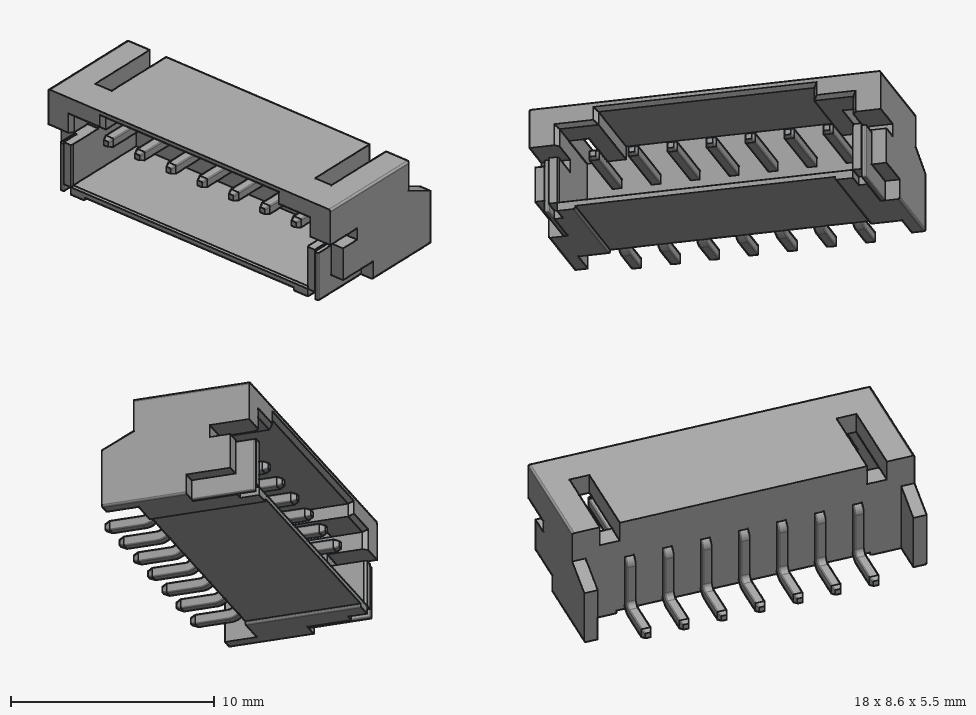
import cadquery as cq

width = 18.0
height = 5.5
roof_depth = 6.05
half_width = width / 2
edge_fillet = 0.1

ear_thickness = 0.7
ear_rear = 7.72
ear_rear_height = 3.02
ear_root_height = 3.8

cavity_depth = 4.99
main_half_width = 7.52
floor_top = 0.49
main_top = 4.41
raised_half_width = 5.53
raised_top = 5.1

wide_lead = 0.2
wide_lead_depth = 0.23
slight_lead = 0.05
slight_lead_depth = 0.15

side_slot_depth = 2.07
side_slot_bottom = 2.85
side_slot_top = 3.5
side_slot_middle = (side_slot_bottom + side_slot_top) / 2

roof_slot_half_gap = 6.5
roof_slot_width = 1.05
roof_slot_front = 1.85

clearance_half_width = 6.66
clearance_height = 0.16

tab_inset = 0.75
tab_thickness = 0.23
tab_edge_fillet = 0.05
tab_upright_depth = 0.99
tab_height = 2.74
tab_foot_length = 3.3
tab_foot_height = 1.03

pin_count = 7
pin_pitch = 2.0
pin_size = 0.5
pin_edge_fillet = 0.05
pin_tip_length = 0.27
pin_tip_inset = 0.099
pin_front = 0.81
pin_rear = 8.6
pin_axis_height = 3.17
pin_leg_position = 6.07
upper_bend_radius = 0.3
lower_bend_radius = 0.54

pin_half = pin_size / 2
tab_inner_half = half_width - tab_inset - tab_thickness
floor_half_width = main_half_width + slight_lead


def box(x_range, y_range, z_range):
    """Box between the given limits on each axis."""
    sizes = [high - low for low, high in (x_range, y_range, z_range)]
    corner = (x_range[0], y_range[0], z_range[0])
    return cq.Workplane("XY").box(*sizes, centered=False).translate(corner)


def both_sides(shape):
    """The shape together with its mirror image across the YZ plane."""
    return shape.union(shape.mirror("YZ"))



def side_profile():
    """Outline of the housing end, extruded over the full width."""
    return (
        cq.Workplane("YZ", origin=(-half_width, 0, 0))
        .polyline([
            (0, 0),
            (ear_rear, 0),
            (ear_rear, ear_rear_height),
            (roof_depth, ear_root_height),
            (roof_depth, height),
            (0, height),
        ])
        .close()
        .extrude(width)
    )


def housing_block():
    """Outer shape of the housing: two ears, two feet and rounded lengthwise edges."""
    ear_gap_half = half_width - ear_thickness
    ear_gap = box((-ear_gap_half, ear_gap_half), (roof_depth, ear_rear), (0, height))
    floor_clearance = box(
        (-clearance_half_width, clearance_half_width), (0, ear_rear), (0, clearance_height)
    )
    block = side_profile().cut(floor_clearance)
    block = block.faces("<Z").edges("|Y").fillet(edge_fillet)
    block = block.faces(">Z").edges("|Y").fillet(edge_fillet)
    return block.cut(ear_gap)


def stepped_outline(lead):
    """Upper cavity outline, grown sideways and upwards by the lead."""
    main = main_half_width + lead
    raised = raised_half_width + lead
    return [
        (-main, side_slot_middle),
        (main, side_slot_middle),
        (main, main_top + lead),
        (raised, main_top + lead),
        (raised, raised_top + lead),
        (-raised, raised_top + lead),
        (-raised, main_top + lead),
        (-main, main_top + lead),
    ]


def lower_outline(lead):
    """Lower cavity outline, grown sideways and downwards by the lead."""
    main = main_half_width + lead
    bottom = floor_top - lead
    return [
        (-main, bottom),
        (main, bottom),
        (main, side_slot_middle),
        (-main, side_slot_middle),
    ]


def flared_pocket(outline, lead, lead_depth):
    """Pocket from the mating face whose mouth flares out by the lead over the lead depth."""
    straight = cq.Workplane("XZ").polyline(outline(0)).close().extrude(-cavity_depth)
    flare = (
        cq.Workplane("XZ")
        .polyline(outline(lead))
        .close()
        .workplane(offset=-lead_depth)
        .polyline(outline(0))
        .close()
        .loft(ruled=True)
    )
    return straight.union(flare)


def side_cutouts():
    """Left-hand wall slot and the cuts that leave room for the solder tab."""
    outside = -half_width
    slot = box(
        (outside, -main_half_width),
        (0, side_slot_depth),
        (side_slot_bottom, side_slot_top),
    )
    upright_recess = box(
        (outside, -tab_inner_half), (0, tab_upright_depth), (0, side_slot_bottom)
    )
    foot_recess = box(
        (outside, -tab_inner_half), (0, tab_foot_length), (0, tab_foot_height)
    )
    corner_notch = box(
        (outside, -floor_half_width),
        (0, tab_upright_depth),
        (0, floor_top - slight_lead),
    )
    return slot.union(upright_recess).union(foot_recess).union(corner_notch)


def roof_slot():
    """Left-hand slot in the roof, down to the level of the cavity top."""
    return box(
        (-roof_slot_half_gap - roof_slot_width, -roof_slot_half_gap),
        (roof_slot_front, roof_depth),
        (main_top, height),
    )


def make_housing(pin_shapes):
    """Housing with its cavity, slots and recesses, and a passage for each pin."""
    housing = (
        housing_block()
        .cut(flared_pocket(stepped_outline, wide_lead, wide_lead_depth))
        .cut(flared_pocket(lower_outline, slight_lead, slight_lead_depth))
        .cut(both_sides(side_cutouts()))
        .cut(both_sides(roof_slot()))
    )
    for pin in pin_shapes:
        housing = housing.cut(pin)
    return housing



def rounded_square(size):
    """Square pin section with rounded corners."""
    return cq.Sketch().rect(size, size).vertices().fillet(pin_edge_fillet)


def pin_tip(plane):
    """Tapered pin end, running along the normal of the given plane."""
    root = rounded_square(pin_size)
    end = rounded_square(pin_size - 2 * pin_tip_inset)
    return plane.placeSketch(root, end.moved(z=pin_tip_length)).loft(ruled=True)


def make_pin(x):
    """Pin bent down behind the housing and then back along the board."""
    tail_height = pin_half
    shank_front = pin_front + pin_tip_length
    tail_end = pin_rear - pin_tip_length
    path = (
        cq.Workplane("YZ", origin=(x, 0, 0))
        .moveTo(shank_front, pin_axis_height)
        .lineTo(pin_leg_position - upper_bend_radius, pin_axis_height)
        .tangentArcPoint((upper_bend_radius, -upper_bend_radius))
        .lineTo(pin_leg_position, tail_height + lower_bend_radius)
        .tangentArcPoint((lower_bend_radius, -lower_bend_radius))
        .lineTo(tail_end, tail_height)
    )
    front_plane = cq.Workplane("XZ", origin=(x, shank_front, pin_axis_height))
    rear_plane = cq.Workplane("XZ", origin=(x, tail_end, tail_height))
    shank = front_plane.placeSketch(rounded_square(pin_size)).sweep(path)
    front_tip = pin_tip(front_plane)
    rear_tip = pin_tip(rear_plane).mirror("XZ", (x, tail_end, tail_height))
    return shank.union(front_tip).union(rear_tip)



def make_tab(side):
    """L-shaped solder tab; side is -1 for the left one and 1 for the right one."""
    plate = (
        cq.Workplane("YZ", origin=(tab_inner_half, 0, 0))
        .polyline([
            (0, 0),
            (tab_foot_length, 0),
            (tab_foot_length, tab_foot_height),
            (tab_upright_depth, tab_foot_height),
            (tab_upright_depth, tab_height),
            (0, tab_height),
        ])
        .close()
        .extrude(tab_thickness)
    )
    for face in ("<Y", "<Z"):
        plate = plate.faces(face).edges("|Z or |Y").fillet(tab_edge_fillet)
    return plate if side > 0 else plate.mirror("YZ")


first_pin = -pin_pitch * (pin_count - 1) / 2
pins = [make_pin(first_pin + i * pin_pitch) for i in range(pin_count)]
tabs = [make_tab(side) for side in (-1, 1)]
housing = make_housing(pins)

result = cq.Compound.makeCompound(
    [housing.val(), *[pin.val() for pin in pins], *[tab.val() for tab in tabs]]
)